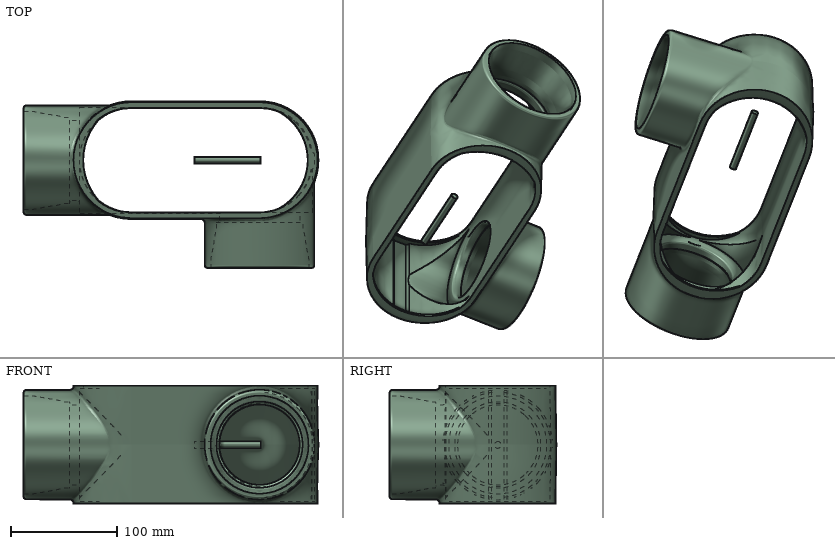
import cadquery as cq

half_height = 55.5
end_radius = 55.5
right_center_x = 61.0
left_center_x = -59.5
draft_inset = 0.97
wall = 5.5

lip_height = 2.5
left_lip_x = -104.6
right_lip_x = 106.3
left_lip_radius = 57.7
right_lip_radius = 52.0

port_radius = 51.5
port_x_face = -161.0
port_y_face = -101.5
mouth_round = 3.0
collar_fillet = 3.3
mouth_bore_radius = 46.0
bore_end_radius = 42.2
mouth_bore_depth = 9.0
bore_depth = 31.5
seat_radius = 40.5
seat_depth = 38.3
ledge_depth = 43.0
neck_radius = 37.7
chamber_radius = 49.7
chamber_depth = 48.9

groove_width = 17.0
groove_floor_width = 12.2
groove_depth = 1.5

pin_diameter = 6.5
pin_start_x = -0.3
pin_length = 62.5

inner_radius = end_radius - wall
rim_inner_radius = inner_radius - draft_inset
inner_end_x = right_center_x + inner_radius


def drafted_slot(mid_radius):
    """Slot prism that narrows from the mid plane towards both rims."""
    rim_radius = mid_radius - draft_inset
    middle_x = (right_center_x + left_center_x) / 2
    spacing = right_center_x - left_center_x
    upper = (
        cq.Workplane("XY").center(middle_x, 0)
        .slot2D(spacing + 2 * mid_radius, 2 * mid_radius)
        .workplane(offset=half_height)
        .slot2D(spacing + 2 * rim_radius, 2 * rim_radius)
        .loft(ruled=True, combine=True)
    )
    return upper.union(upper.mirror("XY"))


def port_plane(center, outward):
    """Work plane whose normal points out of the port."""
    return cq.Workplane(cq.Plane(origin=center, xDir=(0, 0, 1), normal=outward))


def port_body(plane, reach):
    """Solid port cylinder with a rounded mouth edge."""
    body = plane.circle(port_radius).extrude(reach)
    mouth_face = cq.NearestToPointSelector(plane.plane.toWorldCoords((0, 0, reach)).toTuple())
    return body.faces(mouth_face).edges().fillet(mouth_round)


def port_cavity(plane, reach):
    """Short straight mouth, tapered bore, seat, rounded neck, and the wide chamber behind the neck."""
    neck_round = seat_radius - neck_radius
    ledge = reach - ledge_depth
    bore = (
        cq.Workplane("XZ")
        .moveTo(0, 0)
        .lineTo(chamber_radius, 0)
        .lineTo(chamber_radius, chamber_depth)
        .lineTo(seat_radius, chamber_depth)
        .radiusArc((neck_radius, chamber_depth + neck_round), neck_round)
        .lineTo(neck_radius, ledge - neck_round)
        .radiusArc((seat_radius, ledge), neck_round)
        .lineTo(seat_radius, reach - seat_depth)
        .lineTo(bore_end_radius, reach - bore_depth)
        .lineTo(mouth_bore_radius, reach - mouth_bore_depth)
        .lineTo(mouth_bore_radius, reach)
        .lineTo(0, reach)
        .close()
        .revolve(360, (0, 0, 0), (0, 1, 0))
    )
    return cq.Workplane(bore.val().moved(cq.Location(plane.plane)))


def end_groove():
    """Groove with sloped sides, running up the inner +X end between the lips."""
    groove_edge_x = right_center_x + (inner_radius ** 2 - (groove_width / 2) ** 2) ** 0.5
    groove_floor_x = inner_end_x + groove_depth
    return (
        cq.Workplane("XY").workplane(offset=lip_height - half_height)
        .polyline([
            (right_center_x, -groove_width / 2),
            (groove_edge_x, -groove_width / 2),
            (groove_floor_x, -groove_floor_width / 2),
            (groove_floor_x, groove_floor_width / 2),
            (groove_edge_x, groove_width / 2),
            (right_center_x, groove_width / 2),
        ])
        .close()
        .extrude(2 * (half_height - lip_height))
    )


def end_lips():
    """Crescents at both rims, inside the slot ends."""
    lips = []
    ends = [
        (-1, left_center_x, left_lip_x, left_lip_radius),
        (1, right_center_x, right_lip_x, right_lip_radius),
    ]
    outer_radius = rim_inner_radius + wall / 2
    for z_bottom in (-half_height, half_height - lip_height):
        plane = cq.Workplane("XY").workplane(offset=z_bottom)
        for side, center_x, lip_x, lip_radius in ends:
            disc = plane.center(center_x, 0).circle(outer_radius).extrude(lip_height)
            opening = plane.center(lip_x - side * lip_radius, 0).circle(lip_radius).extrude(lip_height)
            inner_half = (
                plane.center(center_x - side * outer_radius, 0)
                .rect(2 * outer_radius, 2 * outer_radius)
                .extrude(lip_height)
            )
            lips.append(disc.cut(opening).cut(inner_half))
    return lips


def make_housing():
    """Slot shell with two ports, end lips and an end groove."""
    ports = [
        (port_plane((left_center_x, 0, 0), (-1, 0, 0)), left_center_x - port_x_face),
        (port_plane((right_center_x, 0, 0), (0, -1, 0)), -port_y_face),
    ]
    shell = drafted_slot(end_radius)
    for plane, reach in ports:
        shell = shell.union(port_body(plane, reach))

    collars = [edge for edge in shell.edges().vals() if edge.geomType() in ("BSPLINE", "ELLIPSE")]
    shell = shell.newObject(collars).fillet(collar_fillet)

    shell = shell.cut(drafted_slot(inner_radius))
    for lip in end_lips():
        shell = shell.union(lip)
    for plane, reach in ports:
        shell = shell.cut(port_cavity(plane, reach))
    return shell.cut(end_groove())


def make_pin():
    """Plain round pin along X."""
    return (
        cq.Workplane("YZ").workplane(offset=pin_start_x)
        .circle(pin_diameter / 2)
        .extrude(pin_length)
    )


housing = make_housing()
pin = make_pin()
result = cq.Compound.makeCompound([housing.val(), pin.val()])